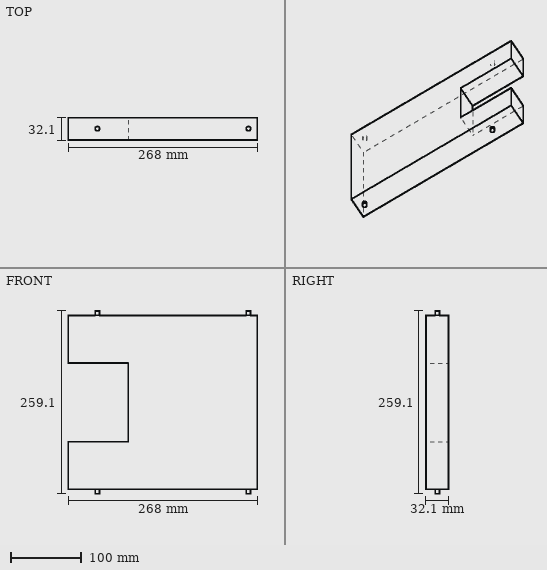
import cadquery as cq

plate_length = 267.97
plate_thickness = 32.14
overall_height = 259.08

pin_diameter = 6.35
pin_height = 6.35
pin_to_right_edge = 12.6
pin_spacing = 214.0
pin_y = 0.32

notch_depth = 84.8
notch_height = 111.3

plate_height = overall_height - 2 * pin_height
plate_left = -plate_length / 2
plate_top = plate_height / 2
right_pin_x = plate_length / 2 - pin_to_right_edge
left_pin_x = right_pin_x - pin_spacing


def make_plate():
    """Upright plate centred on the origin, notched through its thickness."""
    plate = cq.Workplane("XY").box(plate_length, plate_thickness, plate_height)
    notch = (
        cq.Workplane("XY")
        .box(notch_depth, plate_thickness, notch_height)
        .translate((plate_left + notch_depth / 2, 0, 0))
    )
    return plate.cut(notch)


def make_pins(base_z, direction):
    """Pair of pins starting at base_z; direction is +1 for up, -1 for down."""
    return (
        cq.Workplane("XY", origin=(0, 0, base_z))
        .pushPoints([(left_pin_x, pin_y), (right_pin_x, pin_y)])
        .circle(pin_diameter / 2)
        .extrude(direction * pin_height)
    )


result = make_plate()
for direction in (1, -1):
    result = result.union(make_pins(direction * plate_top, direction))